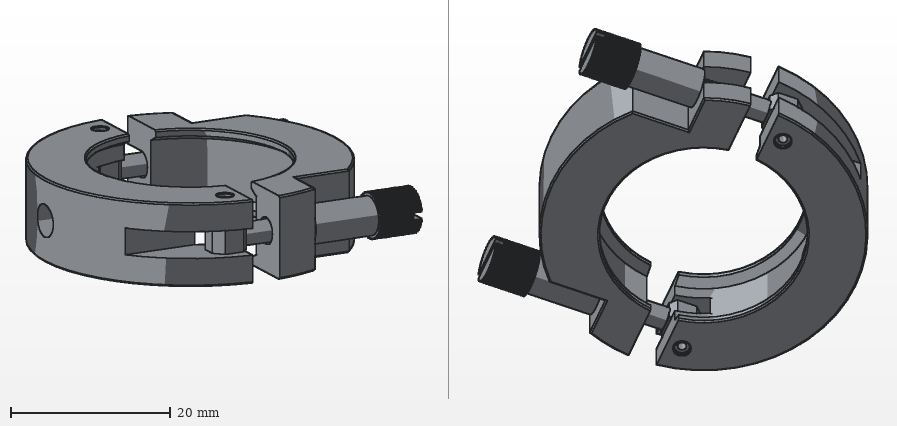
import cadquery as cq
import math

outer_diameter = 41.25
ring_height = 10.9
bore_diameter = 26.15
half_gap = 1.9
edge_chamfer = 0.2

groove_diameter = 28.7
lip_height = 0.95
flank_height = 0.7

bolt_x = 16.9
slot_height = 3.5
bolt_end_y = 16.5
ledge_y = 7.68
notch_x = 13.93
swing_slot_x = 13.0
radial_hole_diameter = 4.25

pivot_y = -3.92
eye_width = 4.4
eye_length = 4.6
eye_height = 3.25
eye_front_chamfer = 0.8
eye_back_chamfer = 1.2
shank_diameter = 2.98
thread_start_y = 3.28
thread_pitch = 0.5
thread_depth = 0.25
groove_mouth = 0.47
groove_overshoot = 0.05

pin_diameter = 2.0
pin_bore = 1.1
pin_recess = 0.5
pin_slit = 0.25
pin_hole_chamfer = 0.15

sleeve_diameter = 5.1
knob_diameter = 6.1
overall_length = 43.1
knob_length = 5.95
driver_slot_width = 0.9
driver_slot_depth = 1.2
knurl_columns = 36
knurl_rows = 9
knurl_depth = 0.15

outer_radius = outer_diameter / 2
nut_end_y = overall_length - outer_radius
knob_start_y = nut_end_y - knob_length
sides = (-1, 1)


def cylinder_along_y(diameter, start_y, end_y):
    """Cylinder on the Y axis between two Y positions."""
    start_plane = cq.Workplane("XZ", origin=(0, start_y, 0))
    return start_plane.circle(diameter / 2).extrude(start_y - end_y)


def box_between(x_range, y_range, height):
    """Box between two X and two Y positions, centred on Z = 0."""
    width = x_range[1] - x_range[0]
    length = y_range[1] - y_range[0]
    middle = ((x_range[0] + x_range[1]) / 2, (y_range[0] + y_range[1]) / 2)
    return cq.Workplane("XY").center(*middle).box(width, length, height)


def at_side(body, side):
    """Copy of a body modelled on the Y axis, moved to the bolt on one side."""
    return body.translate((side * bolt_x, 0, 0))


def turned_about_z(upper_profile):
    """Solid of revolution from (radius, z) points above the XY plane, mirrored below it."""
    lower_profile = [(radius, -z) for radius, z in reversed(upper_profile)]
    outline = cq.Workplane("XZ").polyline(upper_profile + lower_profile).close()
    return outline.revolve(360, (0, 0, 0), (0, 1, 0))


def pin_hole():
    """Cutter for the pin hole through the full height of the ring, widened at both ends."""
    top = ring_height / 2
    radius = pin_diameter / 2
    profile = [
        (0, top),
        (radius + pin_hole_chamfer, top),
        (radius, top - pin_hole_chamfer),
    ]
    return turned_about_z(profile).translate((0, pivot_y, 0))


def grooved_bore():
    """Cutter for the bore with its conical-flanked groove and chamfered rims."""
    bore_radius = bore_diameter / 2
    groove_radius = groove_diameter / 2
    top = ring_height / 2
    lip = top - lip_height
    wall = lip - flank_height
    profile = [
        (0, top),
        (bore_radius + edge_chamfer, top),
        (bore_radius, top - edge_chamfer),
        (bore_radius, lip),
        (groove_radius, wall),
    ]
    return turned_about_z(profile)


def half_disc(direction):
    """Disc cut off at the mating face, on the +Y or -Y side."""
    disc = cq.Workplane("XY").circle(outer_radius).extrude(ring_height / 2, both=True)
    y_range = sorted((direction * half_gap, direction * outer_diameter))
    return disc.intersect(box_between((-outer_diameter, outer_diameter), y_range, ring_height))


def make_fixed_half():
    """Half on the +Y side, notched for the nuts; its shank hole on the -X side is open outward."""
    half = half_disc(1)
    for side in sides:
        notch_range = sorted((side * notch_x, side * outer_diameter))
        half = half.cut(box_between(notch_range, (ledge_y, outer_diameter), ring_height))
    half = half.faces("|Z").edges("not <Y").chamfer(edge_chamfer)
    for side in sides:
        half = half.cut(at_side(cylinder_along_y(slot_height, 0, ledge_y), side))
    half = half.cut(box_between((-outer_diameter, -bolt_x), (0, ledge_y), slot_height))
    return half.cut(grooved_bore())


def make_hinge_half():
    """Half on the -Y side, with swing slots, pin holes and a radial hole."""
    half = half_disc(-1).faces("|Z").edges("not >Y").chamfer(edge_chamfer)
    for side in sides:
        slot_range = sorted((side * swing_slot_x, side * outer_diameter))
        half = half.cut(box_between(slot_range, (-outer_diameter, 0), slot_height))
        half = half.cut(at_side(pin_hole(), side))
    half = half.cut(cylinder_along_y(radial_hole_diameter, -outer_diameter, 0))
    return half.cut(grooved_bore())


def make_eye_bolt():
    """Eye on the pivot pin, with a round shank along +Y and a threaded end."""
    eye = cq.Workplane("XY").center(0, pivot_y).box(eye_width, eye_length, eye_height)
    eye = eye.edges("|Z and >Y").chamfer(eye_front_chamfer)
    eye = eye.edges("|Z and <Y").chamfer(eye_back_chamfer)
    bolt = eye.union(cylinder_along_y(shank_diameter, pivot_y, bolt_end_y))
    return bolt.cut(thread_groove()).cut(pin_hole())


def thread_groove():
    """Helical V groove around the bolt, from the thread start up to the nut."""
    radius = shank_diameter / 2
    length = ledge_y - thread_start_y
    helix = cq.Workplane("XY").add(cq.Wire.makeHelix(thread_pitch, length, radius))
    profile = cq.Workplane("XZ").polyline([
        (radius - thread_depth, 0),
        (radius + groove_overshoot, groove_mouth / 2),
        (radius + groove_overshoot, -groove_mouth / 2),
    ]).close()
    groove = profile.sweep(helix, isFrenet=True)
    groove = groove.rotate((0, 0, 0), (1, 0, 0), -90)
    return groove.translate((0, thread_start_y + groove_mouth / 2, 0))


def make_spring_pin():
    """Tube with a lengthwise slit on its +Y side."""
    half_length = ring_height / 2 - pin_recess
    pin = cq.Workplane("XY").circle(pin_diameter / 2).extrude(half_length, both=True)
    pin = pin.cut(cq.Workplane("XY").circle(pin_bore / 2).extrude(ring_height, both=True))
    slit = box_between((-pin_slit / 2, pin_slit / 2), (0, pin_diameter), ring_height)
    return pin.cut(slit).translate((0, pivot_y, 0))


def knurl_point(column, row):
    """Point of the knurl grid: a peak where column + row is odd, otherwise a valley."""
    is_valley = (column + row) % 2 == 0
    radius = knob_diameter / 2 - (knurl_depth if is_valley else 0)
    angle = math.pi * column / knurl_columns
    y = knob_start_y + knob_length * row / (2 * knurl_rows)
    return cq.Vector(radius * math.cos(angle), y, radius * math.sin(angle))


def polygon_face(points):
    """Flat face bounded by straight lines through the points."""
    return cq.Face.makeFromWires(cq.Wire.makePolygon(points, close=True))


def knurled_knob():
    """Knob covered with a diamond knurl of four-sided pyramids, halved at the two ends."""
    last_row = 2 * knurl_rows
    columns = range(2 * knurl_columns)
    faces = []
    for row in (0, last_row):
        faces.append(polygon_face([knurl_point(column, row) for column in columns]))
    for row in range(last_row + 1):
        for column in columns:
            is_peak = (column + row) % 2 == 1
            for next_row in (row - 1, row + 1):
                if is_peak and 0 <= next_row <= last_row:
                    for next_column in (column - 1, column + 1):
                        faces.append(polygon_face([
                            knurl_point(column, row),
                            knurl_point(next_column, row),
                            knurl_point(column, next_row),
                        ]))
    knob = cq.Solid.makeSolid(cq.Shell.makeShell(faces))
    return cq.Workplane("XY").newObject([knob.fix()])


def make_nut():
    """Sleeve and knurled knob, with a blind hole for the bolt and a driver slot."""
    driver_slot = box_between(
        (-knob_diameter, knob_diameter),
        (nut_end_y - driver_slot_depth, nut_end_y),
        driver_slot_width,
    )
    sleeve = cylinder_along_y(sleeve_diameter, ledge_y, knob_start_y)
    nut = knurled_knob().cut(driver_slot).union(sleeve)
    return nut.cut(cylinder_along_y(shank_diameter, ledge_y, bolt_end_y))


fixed_half = make_fixed_half()
hinge_half = make_hinge_half()
eye_bolt = make_eye_bolt()
eye_bolts = [at_side(eye_bolt, side) for side in sides]
spring_pin = make_spring_pin()
spring_pins = [at_side(spring_pin, side) for side in sides]
nut = make_nut()
nuts = [at_side(nut, side) for side in sides]

result = cq.Compound.makeCompound([
    fixed_half.val(),
    hinge_half.val(),
    *[bolt.val() for bolt in eye_bolts],
    *[pin.val() for pin in spring_pins],
    *[nut.val() for nut in nuts],
])